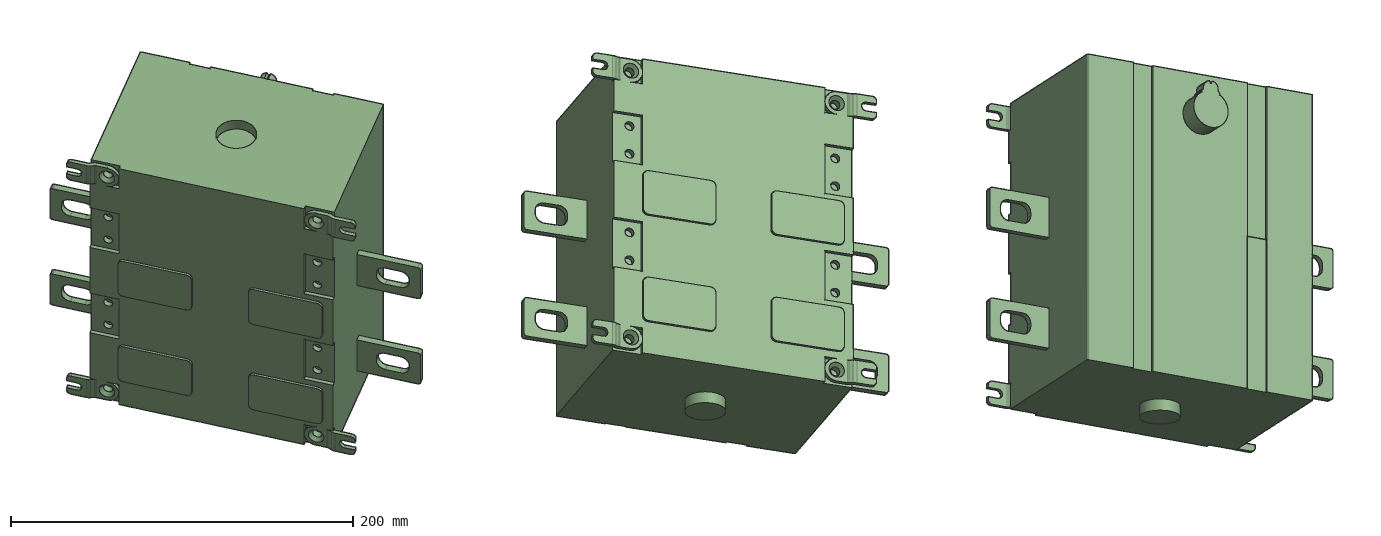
import cadquery as cq
import math

width = 149.0
depth = 98.5
height = 190.0
back_corner_radius = 0.7
pole_pitch = 68.8
mid_depth = 48.4

plug_diameter = 23.8
plug_length = 7.0

groove_width = 12.7
groove_depth = 1.4
groove_offset = 37.7
ledge_thickness = 0.7

terminal_tip = 113.5
terminal_width = 25.0
terminal_thickness = 4.0
terminal_corner_radius = 1.8
upper_terminal_z = 103.7
terminal_slot_length = 20.0
terminal_slot_width = 13.0
terminal_slot_radius = 5.5
terminal_slot_inset = 17.0

pad_width = 45.2
pad_height = 28.1
pad_thickness = 1.5
pad_radius = 3.5
pad_centers_x = (-34.3, 45.6)
upper_pad_z = 103.5

recess_depth = 2.5
recess_inner_x = 56.8
side_recess_height = 32.0
upper_recess_z = 137.5
recess_hole_diameter = 5.5
recess_hole_pitch = 18.0
recess_hole_depth = 3.5
hole_x = 64.0

sheet = recess_depth
foot_offset = pad_thickness
bracket_width = 14.5
bracket_edge_gap = 1.5
bracket_z = height - bracket_edge_gap - bracket_width / 2
bracket_tip = 88.3
bend_angle = 23.0
plate_bend_radius = 1.8
foot_bend_radius = 3.2
bend_outer_x = 75.0
prong_radius = 2.7
foot_slot_width = 5.7
foot_slot_end = 79.0
screw_head_diameter = 9.5
screw_hole_diameter = 5.7
screw_hole_depth = 6.8

knob_diameter = 22.7
knob_length = 13.5
knob_z = 164.1
knob_groove_diameter = 4.0
pointer_length = 8.9
pointer_width = 12.0
pointer_bottom = 173.2
pointer_side_height = 1.4
pointer_shoulder_height = 3.0
crown_width = 9.5
pointer_top = 181.8
crown_groove_width = 2.7
crown_groove_depth = 1.8

SIDES = (-1, 1)


def block(x0, x1, y0, y1, z0, z1):
    """Box between two opposite corners, given in any order."""
    size = (abs(x1 - x0), abs(y1 - y0), abs(z1 - z0))
    center = ((x0 + x1) / 2, (y0 + y1) / 2, (z0 + z1) / 2)
    return cq.Workplane("XY").box(*size).translate(center)


def disc(diameter, x, z, y0, y1):
    """Cylinder along Y from y0 to y1."""
    return (
        cq.Workplane("XZ", origin=(x, y0, z))
        .circle(diameter / 2)
        .extrude(y0 - y1)
    )


def housing():
    body = block(-width / 2, width / 2, 0, depth, 0, height)
    body = body.edges("|Z and >Y").fillet(back_corner_radius)
    for side in SIDES:
        x = side * groove_offset
        groove_sides = (x - groove_width / 2, x + groove_width / 2)
        body = body.cut(block(*groove_sides, depth - groove_depth, depth, 0, height))
        if side < 0:
            ledge_back = depth - groove_depth + ledge_thickness
            body = body.union(block(*groove_sides, depth - groove_depth, ledge_back, 0, height / 2))
    plug = cq.Workplane("XY").center(0, mid_depth).circle(plug_diameter / 2).extrude(plug_length)
    return body.union(plug.translate((0, 0, -plug_length))).cut(plug.translate((0, 0, height - plug_length)))


def terminal(side, z):
    inner = width / 2
    bar = block(
        side * inner, side * terminal_tip,
        mid_depth - terminal_thickness / 2, mid_depth + terminal_thickness / 2,
        z - terminal_width / 2, z + terminal_width / 2,
    )
    bar = bar.edges("|Y").edges(">X" if side > 0 else "<X").fillet(terminal_corner_radius)
    slot = (
        cq.Workplane("XZ", origin=(side * (terminal_tip - terminal_slot_inset), mid_depth, z))
        .rect(terminal_slot_length, terminal_slot_width)
        .extrude(terminal_thickness, both=True)
        .edges("|Y")
        .fillet(terminal_slot_radius)
    )
    return bar.cut(slot)


def pad(x, z):
    return (
        block(
            x - pad_width / 2, x + pad_width / 2, -pad_thickness, 0,
            z - pad_height / 2, z + pad_height / 2,
        )
        .edges("|Y")
        .fillet(pad_radius)
    )


def side_recess(side, z):
    cutter = block(
        side * recess_inner_x, side * width / 2, 0, recess_depth,
        z - side_recess_height / 2, z + side_recess_height / 2,
    )
    for hole_z in (z - recess_hole_pitch / 2, z + recess_hole_pitch / 2):
        cutter = cutter.union(
            disc(recess_hole_diameter, side * hole_x, hole_z, 0, recess_depth + recess_hole_depth)
        )
    return cutter


def corner_recess():
    """Seat for the bracket at the upper +X corner."""
    return block(
        recess_inner_x, width / 2, 0, recess_depth,
        bracket_z - bracket_width / 2, height,
    )


def bracket():
    """Bracket at the upper +X corner: seated plate, joggle and forked foot."""
    z = bracket_z
    angle = math.radians(bend_angle)
    bend_inner_x = bend_outer_x - foot_offset / math.tan(angle)
    shift = sheet * math.tan(angle / 2)
    bent = (
        cq.Workplane("XY", origin=(0, 0, z - bracket_width / 2))
        .moveTo(recess_inner_x, 0)
        .lineTo(bend_inner_x, 0)
        .lineTo(bend_outer_x, -foot_offset)
        .lineTo(bracket_tip, -foot_offset)
        .lineTo(bracket_tip, sheet - foot_offset)
        .lineTo(bend_outer_x + shift, sheet - foot_offset)
        .lineTo(bend_inner_x + shift, sheet)
        .lineTo(recess_inner_x, sheet)
        .close()
        .extrude(bracket_width)
    )

    bends = (
        (bend_inner_x, 0, plate_bend_radius),
        (bend_inner_x + shift, sheet, plate_bend_radius + sheet),
        (bend_outer_x + shift, sheet - foot_offset, foot_bend_radius),
        (bend_outer_x, -foot_offset, foot_bend_radius + sheet),
    )
    for x, y, radius in bends:
        corner = cq.selectors.NearestToPointSelector((x, y, z))
        bent = bent.edges("|Z").edges(corner).fillet(radius)

    bent = bent.edges("|Y and >X").fillet(prong_radius)
    slot_radius = foot_slot_width / 2
    slot_center = foot_slot_end + slot_radius
    slot = disc(foot_slot_width, slot_center, z, -foot_offset, sheet).union(
        block(slot_center, bracket_tip, -foot_offset, sheet, z - slot_radius, z + slot_radius)
    )
    end_radius = bracket_width / 2
    end_center = recess_inner_x + end_radius
    rounded_end = disc(bracket_width, end_center, z, -foot_offset, sheet).union(
        block(end_center, bracket_tip, -foot_offset, sheet, z - end_radius, z + end_radius)
    )
    return bent.intersect(rounded_end).cut(slot)


def screw_hole():
    """Countersunk blind hole through the upper +X bracket."""
    cone = (
        cq.Workplane("XZ", origin=(hole_x, 0, bracket_z))
        .circle(screw_head_diameter / 2)
        .workplane(offset=-sheet)
        .circle(screw_hole_diameter / 2)
        .loft()
    )
    return cone.union(disc(screw_hole_diameter, hole_x, bracket_z, 0, screw_hole_depth))


def at_corners(shape):
    """Copies of an upper +X corner shape at all four corners."""
    pair = shape.union(shape.mirror("YZ"))
    return pair.union(pair.mirror("XY", (0, 0, height / 2)))


def knob():
    end = depth + knob_length
    grip = disc(knob_diameter, 0, knob_z, depth, end)
    grip = grip.cut(disc(knob_groove_diameter, 0, knob_z + knob_diameter / 2, depth, end))

    side = pointer_width / 2
    crown = crown_width / 2
    side_z = pointer_bottom + pointer_side_height
    shoulder_z = pointer_bottom + pointer_shoulder_height
    pointer = (
        cq.Workplane("XZ", origin=(0, end, 0))
        .moveTo(-side, knob_z)
        .lineTo(-side, side_z)
        .lineTo(-crown, shoulder_z)
        .threePointArc((0, pointer_top), (crown, shoulder_z))
        .lineTo(side, side_z)
        .lineTo(side, knob_z)
        .close()
        .extrude(pointer_length)
    )
    groove = (
        cq.Workplane("XZ", origin=(0, end, 0))
        .moveTo(-crown_groove_width / 2, pointer_top)
        .lineTo(0, pointer_top - crown_groove_depth)
        .lineTo(crown_groove_width / 2, pointer_top)
        .close()
        .extrude(pointer_length)
    )
    return grip.union(pointer.cut(groove))


result = housing()
for drop in (0, pole_pitch):
    for x in pad_centers_x:
        result = result.union(pad(x, upper_pad_z - drop))
    for side in SIDES:
        result = result.union(terminal(side, upper_terminal_z - drop))
        result = result.cut(side_recess(side, upper_recess_z - drop))
result = result.cut(at_corners(corner_recess()))
result = result.union(at_corners(bracket()))
result = result.cut(at_corners(screw_hole()))
result = result.union(knob())